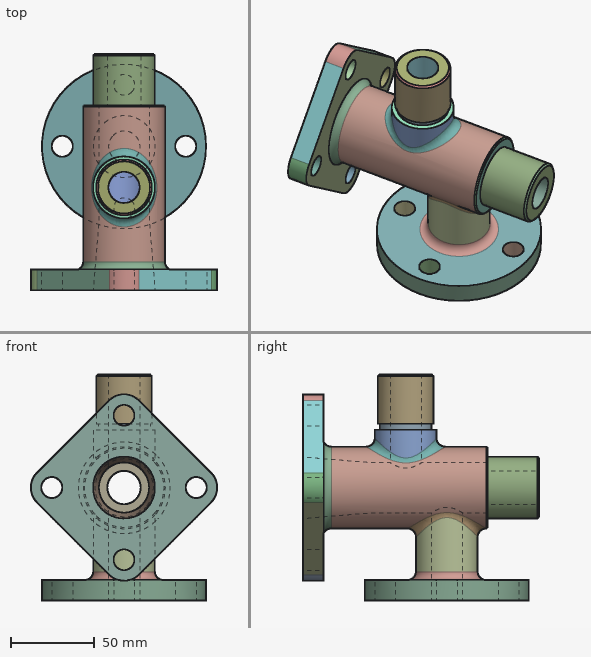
import cadquery as cq
import math

LENGTH = 141.2
HEIGHT = 135.2
HALF_HEIGHT = HEIGHT / 2
FLANGE_THICKNESS = 12.4
BOLT_HOLE_DIA = 12.4
PIPE_DIA = 37.0
FILLET = 5.0
EDGE_CHAMFER = 1.1

BODY_DIA = 49.0
BODY_END = 110.5
BODY_CHAMFER = 0.8
FLANGE_FILLET_LENGTH = 4.7
FLANGE_FILLET_RADIUS = 5.2

DIAMOND_WIDTH = 111.5
DIAMOND_CORNER_RADIUS = 12.5
DIAMOND_BOLT_RADIUS = DIAMOND_WIDTH / 2 - DIAMOND_CORNER_RADIUS
DIAMOND_SIDE = math.sqrt(2) * DIAMOND_BOLT_RADIUS + 2 * DIAMOND_CORNER_RADIUS

LOWER_Y = 86.0
ROUND_FLANGE_DIA = 98.2
ROUND_BOLT_RADIUS = 36.9

UPPER_Y = 61.5
PORT_DIA = 33.3
PORT_BASE = 38.0
GROOVE_DIA = 31.1
COLLAR_TOP = 34.6

BORE_MOUTH_DIA = 37.0
BORE_END_DIA = 30.0
TAPER_DEPTH = 42.4
BORE_DEPTH = BODY_END
REAR_BORE_DIA = 19.8
SIDE_BORE_DIA = 18.6


def cylinder_y(diameter, start, end):
    """Cylinder on the main axis."""
    base = cq.Workplane("XZ", origin=(0, start, 0))
    return base.circle(diameter / 2).extrude(start - end)


def cylinder_z(diameter, y, bottom, top):
    """Vertical cylinder crossing the main axis at y."""
    base = cq.Workplane("XY", origin=(0, y, bottom))
    return base.circle(diameter / 2).extrude(top - bottom)


def revolve_main_axis(profile):
    return profile.close().revolve(360, (0, 0, 0), (0, 1, 0))


def make_branched_body():
    """Main barrel with the upper collar and lower neck blended into it."""
    body = cylinder_y(BODY_DIA, 0, BODY_END).faces(">Y").chamfer(BODY_CHAMFER)
    collar = cylinder_z(PIPE_DIA, UPPER_Y, 0, COLLAR_TOP)
    neck = cylinder_z(PIPE_DIA, LOWER_Y, -HALF_HEIGHT, 0)
    round_flange = cylinder_z(
        ROUND_FLANGE_DIA, LOWER_Y, -HALF_HEIGHT, FLANGE_THICKNESS - HALF_HEIGHT
    )
    body = body.union(collar).union(neck).union(round_flange)

    reach = PIPE_DIA / 2 + FILLET
    upper_box = cq.selectors.BoxSelector(
        (-reach, UPPER_Y - reach, 0), (reach, UPPER_Y + reach, COLLAR_TOP - FILLET), True
    )
    lower_box = cq.selectors.BoxSelector(
        (-reach, LOWER_Y - reach, FLANGE_THICKNESS - HALF_HEIGHT - EDGE_CHAMFER),
        (reach, LOWER_Y + reach, 0),
        True,
    )
    return body.edges(upper_box).fillet(FILLET).edges(lower_box).fillet(FILLET)


def make_square_flange():
    plate = (
        cq.Workplane("XZ")
        .transformed(rotate=(0, 0, 45))
        .rect(DIAMOND_SIDE, DIAMOND_SIDE)
        .extrude(-FLANGE_THICKNESS)
        .edges("|Y")
        .fillet(DIAMOND_CORNER_RADIUS)
    )
    radius = BODY_DIA / 2
    end = FLANGE_THICKNESS + FLANGE_FILLET_LENGTH
    sweep = math.asin(FLANGE_FILLET_LENGTH / FLANGE_FILLET_RADIUS)

    def arc_point(angle):
        rise = FLANGE_FILLET_RADIUS * (1 - math.cos(angle))
        return (radius + rise, end - FLANGE_FILLET_RADIUS * math.sin(angle))

    blend = (
        cq.Workplane("XY")
        .moveTo(0, FLANGE_THICKNESS)
        .lineTo(*arc_point(sweep))
        .threePointArc(arc_point(sweep / 2), (radius, end))
        .lineTo(0, end)
    )
    return plate.union(revolve_main_axis(blend))


def make_upper_port():
    groove = cylinder_z(GROOVE_DIA, UPPER_Y, 0, PORT_BASE)
    port = cylinder_z(PORT_DIA, UPPER_Y, PORT_BASE, HALF_HEIGHT)
    return groove.union(port.faces(">Z").chamfer(EDGE_CHAMFER))


def make_bores():
    """Tapered main bore, rear outlet and the two vertical branches."""
    taper = (
        cq.Workplane("XY")
        .lineTo(BORE_MOUTH_DIA / 2, 0)
        .lineTo(BORE_END_DIA / 2, TAPER_DEPTH)
        .lineTo(BORE_END_DIA / 2, BORE_DEPTH)
        .lineTo(0, BORE_DEPTH)
    )
    return (
        revolve_main_axis(taper)
        .union(cylinder_y(REAR_BORE_DIA, 0, LENGTH))
        .union(cylinder_z(SIDE_BORE_DIA, UPPER_Y, 0, HALF_HEIGHT))
        .union(cylinder_z(SIDE_BORE_DIA, LOWER_Y, -HALF_HEIGHT, 0))
    )


def make_bolt_holes():
    """Four holes in each flange, on the axes through its centre."""
    square_holes = (
        cq.Workplane("XZ")
        .polarArray(DIAMOND_BOLT_RADIUS, 0, 360, 4)
        .circle(BOLT_HOLE_DIA / 2)
        .extrude(-FLANGE_THICKNESS)
    )
    round_holes = (
        cq.Workplane("XY", origin=(0, LOWER_Y, -HALF_HEIGHT))
        .polarArray(ROUND_BOLT_RADIUS, 0, 360, 4)
        .circle(BOLT_HOLE_DIA / 2)
        .extrude(FLANGE_THICKNESS)
    )
    return square_holes.union(round_holes)


spigot = cylinder_y(PIPE_DIA, 0, LENGTH).faces(">Y").chamfer(EDGE_CHAMFER)
result = make_branched_body().union(spigot).union(make_upper_port())
result = result.union(make_square_flange())
result = result.cut(make_bores())
result = result.cut(make_bolt_holes())